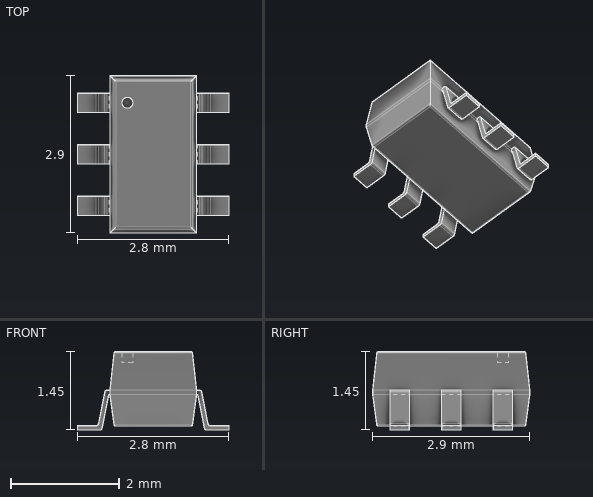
import cadquery as cq
import math

housing_width = 1.6
housing_length = 2.9
overall_height = 1.45
standoff = 0.075
taper_inset = 0.078
housing_edge_radius = 0.035

mark_diameter = 0.2
mark_depth = mark_diameter
mark_edge_distance = 0.325

lead_span = 2.8
lead_thickness = 0.085
lead_width = 0.36
lead_pitch = 0.95
leads_per_side = 3
lead_top = 0.74
foot_length = 0.383
leg_run = 0.13
bend_radius = 0.045

band_top = lead_top
band_bottom = lead_top - lead_thickness


def make_frustum(base_z, end_z):
    """Tapered half of the housing, from the band face to the smaller end face."""
    height = end_z - base_z
    taper_angle = math.degrees(math.atan(taper_inset / abs(height)))
    return (
        cq.Workplane("XY", origin=(0, 0, base_z))
        .rect(housing_width, housing_length)
        .extrude(height, taper=taper_angle)
    )


def make_housing():
    """Moulded housing with rounded top and bottom edges and a round mark near pin 1."""
    band = cq.Workplane("XY", origin=(0, 0, band_bottom)).box(
        housing_width, housing_length, lead_thickness, centered=(True, True, False)
    )
    upper = make_frustum(band_top, overall_height).faces(">Z").edges().fillet(housing_edge_radius)
    lower = make_frustum(band_bottom, standoff).faces("<Z").edges().fillet(housing_edge_radius)
    mark_x = mark_edge_distance - housing_width / 2
    mark_y = lead_pitch * (leads_per_side - 1) / 2
    mark = (
        cq.Workplane("XY", origin=(mark_x, mark_y, overall_height - mark_depth))
        .circle(mark_diameter / 2)
        .extrude(mark_depth)
    )
    return band.union(upper).union(lower).cut(mark)


def make_lead():
    """Lead on the -X side, centred on Y = 0, ending flush against the band."""
    tip_x = -lead_span / 2
    root_x = -housing_width / 2
    heel_x = tip_x + foot_length
    shoulder_x = heel_x + leg_run
    leg_angle = math.atan2(lead_top - lead_thickness, leg_run)
    corner_shift = lead_thickness * math.tan(leg_angle / 2)
    outer_heel = (heel_x + corner_shift, 0)
    inner_shoulder = (shoulder_x + corner_shift, band_bottom)
    profile = [
        (tip_x, 0),
        outer_heel,
        inner_shoulder,
        (root_x, band_bottom),
        (root_x, lead_top),
        (shoulder_x, lead_top),
        (heel_x, lead_thickness),
        (tip_x, lead_thickness),
    ]
    blank = (
        cq.Workplane("XZ", origin=(0, lead_width / 2, 0))
        .polyline(profile)
        .close()
        .extrude(lead_width)
    )
    rounded_corners = [outer_heel, (heel_x, lead_thickness), (shoulder_x, lead_top)]
    for x, z in rounded_corners:
        corner_edge = cq.selectors.NearestToPointSelector((x, 0, z))
        blank = blank.edges("|Y").edges(corner_edge).fillet(bend_radius)
    return blank


def make_leads():
    """One separate lead for each position along both long sides."""
    left_lead = make_lead()
    right_lead = left_lead.mirror("YZ")
    leads = []
    for index in range(leads_per_side):
        y = (index - (leads_per_side - 1) / 2) * lead_pitch
        for lead in (left_lead, right_lead):
            leads.append(lead.translate((0, y, 0)).val())
    return leads


housing = make_housing()
leads = make_leads()
result = cq.Compound.makeCompound([housing.val(), *leads])